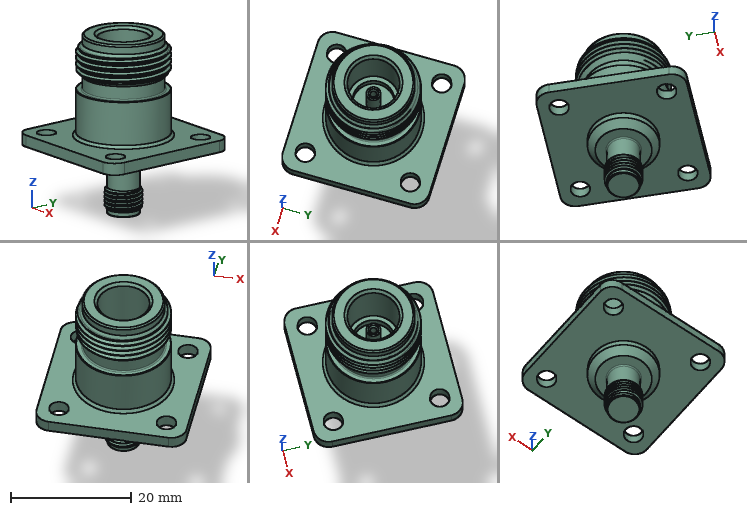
import cadquery as cq
import math

MM_PER_INCH = 25.4

flange_side = 25.4
flange_thickness = 2.03
flange_corner_radius = 2.54
hole_spacing = 18.2
hole_diameter = 3.25

top_z = 19.52
body_radius = 15.875 / 2
body_top_z = 10.05
body_edge_chamfer = 0.1
skirt_height = 0.5
neck_radius = 6.88
neck_root_fillet = 0.2
rim_chamfer = 0.3
upper_pitch = MM_PER_INCH / 24
upper_thread_bottom_z = 12.4
upper_thread_top_z = 17.97
upper_crest_z = 16.87

socket_radius = 4.34
socket_mouth_chamfer = 0.5
socket_depth = 9.0
inner_bore_radius = 3.52
inner_bore_depth = 10.5
contact_radius = 1.19
contact_tip_depth = 5.5
contact_hole_radius = 0.55
contact_hole_mouth_radius = 0.85
contact_hole_depth = 3.0

bottom_z = -11.48
hub_radius = 6.0
hub_straight_height = 1.22
hub_chamfer = 1.3
stem_radius = 2.77
stem_root_fillet = 0.2
stem_end_chamfer = 0.15
lower_thread_radius = 6.35 / 2
lower_pitch = MM_PER_INCH / 36
lower_thread_bottom_z = -10.63
lower_thread_top_z = -6.9
lower_crest_z = -7.68

FLANK_SLOPE = math.tan(math.radians(30))
CREST_FRACTION = 1 / 8
ROOT_FRACTION = 1 / 4

ridge_overlap = 0.05

trim_clearance = 0.5


def make_flange():
    """Square plate with rounded corners and four through holes."""
    plate = cq.Workplane("XY").rect(flange_side, flange_side).extrude(flange_thickness)
    plate = plate.edges("|Z").fillet(flange_corner_radius)
    holes = (
        cq.Workplane("XY")
        .rect(hole_spacing, hole_spacing, forConstruction=True)
        .vertices()
        .circle(hole_diameter / 2)
        .extrude(flange_thickness)
    )
    return plate.cut(holes)


def make_upper_barrel():
    """Body and neck above the flange, with the 45 degree skirt at the base."""
    profile = (
        cq.Workplane("XZ")
        .lineTo(body_radius + skirt_height, 0)
        .lineTo(body_radius + skirt_height, flange_thickness)
        .lineTo(body_radius, flange_thickness + skirt_height)
        .lineTo(body_radius, body_top_z - body_edge_chamfer)
        .lineTo(body_radius - body_edge_chamfer, body_top_z)
        .lineTo(neck_radius + neck_root_fillet, body_top_z)
        .radiusArc((neck_radius, body_top_z + neck_root_fillet), neck_root_fillet)
        .lineTo(neck_radius, top_z - rim_chamfer)
        .lineTo(neck_radius - rim_chamfer, top_z)
        .lineTo(0, top_z)
        .close()
    )
    return profile.revolve(360, (0, 0), (0, 1))


def make_lower_barrel():
    """Chamfered hub and slim stem below the flange."""
    hub_bottom_z = -hub_straight_height - hub_chamfer
    profile = (
        cq.Workplane("XZ")
        .moveTo(0, flange_thickness)
        .lineTo(hub_radius, flange_thickness)
        .lineTo(hub_radius, -hub_straight_height)
        .lineTo(hub_radius - hub_chamfer, hub_bottom_z)
        .lineTo(stem_radius + stem_root_fillet, hub_bottom_z)
        .radiusArc((stem_radius, hub_bottom_z - stem_root_fillet), -stem_root_fillet)
        .lineTo(stem_radius, bottom_z + stem_end_chamfer)
        .lineTo(stem_radius - stem_end_chamfer, bottom_z)
        .lineTo(0, bottom_z)
        .close()
    )
    return profile.revolve(360, (0, 0), (0, 1))


def make_bevelled_cylinder(base_radius, peak_radius, bottom_z, top_z):
    """Cylinder rising at 45 degrees from base_radius at each end to peak_radius between."""
    rise = peak_radius - base_radius
    profile = (
        cq.Workplane("XZ")
        .moveTo(0, bottom_z)
        .lineTo(base_radius, bottom_z)
        .lineTo(peak_radius, bottom_z + rise)
        .lineTo(peak_radius, top_z - rise)
        .lineTo(base_radius, top_z)
        .lineTo(0, top_z)
        .close()
    )
    return profile.revolve(360, (0, 0), (0, 1))


def make_ridge(inner_radius, major_radius, pitch, start_z, turns):
    """Right-hand helical ridge that starts on the +X side, built from ruled helical faces."""
    crest_half = pitch * CREST_FRACTION / 2
    base_half = crest_half + (major_radius - inner_radius) * FLANK_SLOPE
    section = [
        (inner_radius, -base_half),
        (major_radius, -crest_half),
        (major_radius, crest_half),
        (inner_radius, base_half),
    ]
    helices = [
        cq.Wire.makeHelix(pitch, turns * pitch, radius, cq.Vector(0, 0, start_z + offset))
        for radius, offset in section
    ]
    faces = []
    for helix, next_helix in zip(helices, helices[1:] + helices[:1]):
        faces += cq.Face.makeRuledSurface(helix, next_helix).Faces()
    for corners in ([h.startPoint() for h in helices], [h.endPoint() for h in helices]):
        faces.append(cq.Face.makeFromWires(cq.Wire.makePolygon(corners, close=True)))
    return cq.Workplane(cq.Solid.makeSolid(cq.Shell.makeShell(faces)))


def make_thread(barrel_radius, major_radius, pitch, bottom_z, top_z, crest_z):
    """Threaded length with 45 degree ends; a crest meets the +X side at crest_z."""
    depth = pitch * (1 - CREST_FRACTION - ROOT_FRACTION) / (2 * FLANK_SLOPE)
    root_radius = major_radius - depth

    turns_below = math.ceil((crest_z - bottom_z) / pitch) + 1
    start_z = crest_z - turns_below * pitch
    turns = math.ceil((top_z - start_z) / pitch) + 1
    ridge = make_ridge(root_radius - ridge_overlap, major_radius, pitch, start_z, turns)

    trim = make_bevelled_cylinder(barrel_radius, major_radius + trim_clearance, bottom_z, top_z)
    core = make_bevelled_cylinder(barrel_radius, root_radius, bottom_z, top_z)
    return core.union(ridge.intersect(trim))


def make_socket():
    """Stepped bore of the upper barrel, leaving the hollow centre contact standing."""
    shoulder_z = top_z - socket_depth
    floor_z = top_z - inner_bore_depth
    tip_z = top_z - contact_tip_depth
    hole_floor_z = tip_z - contact_hole_depth
    mouth_chamfer = contact_hole_mouth_radius - contact_hole_radius
    profile = (
        cq.Workplane("XZ")
        .moveTo(0, top_z)
        .lineTo(socket_radius + socket_mouth_chamfer, top_z)
        .lineTo(socket_radius, top_z - socket_mouth_chamfer)
        .lineTo(socket_radius, shoulder_z)
        .lineTo(inner_bore_radius, shoulder_z)
        .lineTo(inner_bore_radius, floor_z)
        .lineTo(contact_radius, floor_z)
        .lineTo(contact_radius, tip_z)
        .lineTo(contact_hole_mouth_radius, tip_z)
        .lineTo(contact_hole_radius, tip_z - mouth_chamfer)
        .lineTo(contact_hole_radius, hole_floor_z)
        .lineTo(0, hole_floor_z)
        .close()
    )
    return profile.revolve(360, (0, 0), (0, 1))


upper_thread = make_thread(
    neck_radius, body_radius, upper_pitch, upper_thread_bottom_z, upper_thread_top_z, upper_crest_z
)
lower_thread = make_thread(
    stem_radius, lower_thread_radius, lower_pitch, lower_thread_bottom_z, lower_thread_top_z, lower_crest_z
)

result = make_flange().union(make_upper_barrel()).union(make_lower_barrel())
result = result.union(upper_thread).union(lower_thread).cut(make_socket())